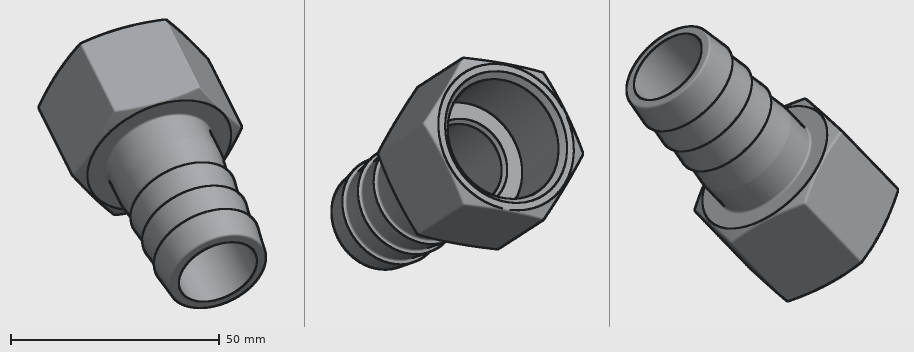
import cadquery as cq
import math

total_length = 66.0
nut_length = 26.0
barb_pitch = 8.0
barb_count = 4
barbs_start = total_length - barb_count * barb_pitch

across_flats = 38.0
hex_edge_radius = 0.65
end_face_radius = 18.5
end_chamfer_angle = 20.0

spigot_radius = 13.5
barb_root_radius = 12.55
step_fillet = 0.5
step_lean = 0.1
neck_fillet = 0.5
hose_end_radius = 0.5

socket_radius = 15.1
socket_mouth_radius = 16.6
socket_depth = 20.0
passage_radius = 10.0
passage_mouth_radius = 11.0


def make_nut():
    """Hexagonal prism with conically turned ends and softened edges."""
    across_corners = across_flats / math.cos(math.radians(30))
    hexagon = (
        cq.Workplane("YZ")
        .polygon(6, across_corners)
        .extrude(nut_length)
        .edges("|X")
        .fillet(hex_edge_radius)
    )

    corner_radius = across_corners / 2
    turned_depth = (corner_radius - end_face_radius) * math.tan(math.radians(end_chamfer_angle))
    turned_envelope = (
        cq.Workplane("XZ")
        .moveTo(0, 0)
        .lineTo(0, end_face_radius)
        .lineTo(turned_depth, corner_radius)
        .lineTo(nut_length - turned_depth, corner_radius)
        .lineTo(nut_length, end_face_radius)
        .lineTo(nut_length, 0)
        .close()
        .revolve(360, (0, 0, 0), (1, 0, 0))
    )
    return hexagon.intersect(turned_envelope).edges("%HYPERBOLA").fillet(hex_edge_radius)


def make_spigot():
    """Plain neck followed by barbs that taper towards the hose end."""
    embedded_start = nut_length / 2
    profile = (
        cq.Workplane("XZ")
        .moveTo(embedded_start, 0)
        .lineTo(embedded_start, spigot_radius + neck_fillet)
        .lineTo(nut_length, spigot_radius + neck_fillet)
        .radiusArc((nut_length + neck_fillet, spigot_radius), -neck_fillet)
        .lineTo(barbs_start, spigot_radius)
    )
    for barb in range(1, barb_count):
        tip_x = barbs_start + barb * barb_pitch
        profile = (
            profile
            .lineTo(tip_x - step_fillet, barb_root_radius)
            .radiusArc((tip_x, barb_root_radius + step_fillet), -step_fillet)
            .lineTo(tip_x + step_lean, spigot_radius)
        )
    return (
        profile
        .lineTo(total_length - hose_end_radius, barb_root_radius)
        .radiusArc((total_length, barb_root_radius - hose_end_radius), hose_end_radius)
        .lineTo(total_length, 0)
        .close()
        .revolve(360, (0, 0, 0), (1, 0, 0))
    )


def make_bore():
    """Chamfered socket opening into a narrower through passage."""
    mouth_depth = socket_mouth_radius - socket_radius
    passage_chamfer = passage_mouth_radius - passage_radius
    return (
        cq.Workplane("XZ")
        .moveTo(0, 0)
        .lineTo(0, socket_mouth_radius)
        .lineTo(mouth_depth, socket_radius)
        .lineTo(socket_depth, socket_radius)
        .lineTo(socket_depth, passage_mouth_radius)
        .lineTo(socket_depth + passage_chamfer, passage_radius)
        .lineTo(total_length, passage_radius)
        .lineTo(total_length, 0)
        .close()
        .revolve(360, (0, 0, 0), (1, 0, 0))
    )


result = make_nut().union(make_spigot()).cut(make_bore())